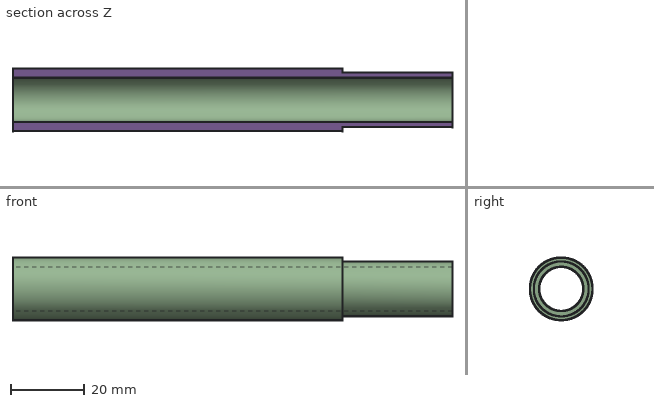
import cadquery as cq

total_length = 120.0
spigot_length = 30.0
body_diameter = 17.2
spigot_diameter = 15.0
bore_diameter = 12.0

body_length = total_length - spigot_length


def cylinder_along_x(start_x, length, diameter):
    """Solid cylinder on the X axis, growing toward +X from start_x."""
    return (
        cq.Workplane("YZ", origin=(start_x, 0, 0))
        .circle(diameter / 2)
        .extrude(length)
    )


body = cylinder_along_x(0, body_length, body_diameter)
spigot = cylinder_along_x(body_length, spigot_length, spigot_diameter)

bore = cylinder_along_x(0, total_length, bore_diameter)

result = body.union(spigot).cut(bore)